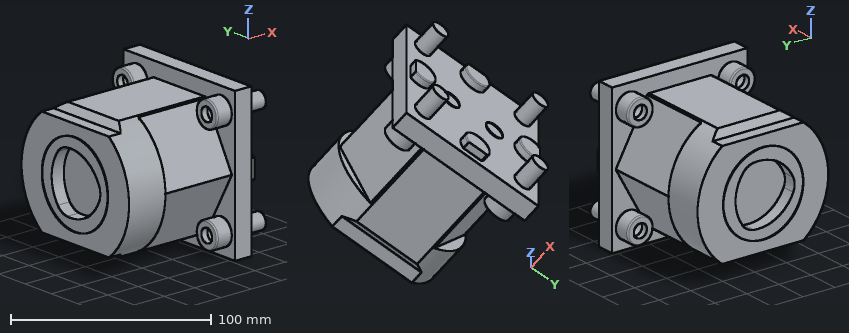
import cadquery as cq
import math

TOTAL_LENGTH = 94.5
FACE_PAD_HEIGHT = 0.4
DRUM_START = FACE_PAD_HEIGHT
DRUM_END = 24.5
PLATE_START = 69.2
PLATE_THICKNESS = 11.0
PLATE_END = PLATE_START + PLATE_THICKNESS

PLATE_WIDTH = 85.0
PLATE_HEIGHT = 90.0

DRUM_RADIUS = 41.0
FLAT_HALF_HEIGHT = 36.1
RIDGE_HALF_WIDTH = 40.2
FACET_CORNER_ANGLE = math.radians(60)
NOSE_HALF_HEIGHT = 32.0
NOSE_FLAT_LENGTH = 7.75

FACE_PAD_DIAMETER = 50.1
LOBE_COUNT = 3
FIRST_LOBE_ANGLE = 180
LOBE_TIP_DISTANCE = 19.6
LOBE_RADIUS = 10.0
SIDE_DISTANCE = 17.5
POCKET_DEPTH = 8.0

BOLT_OFFSET = 32.0
BOLT_HEAD_DIAMETER = 16.1
BOLT_HEAD_HEIGHT = 9.6
BOLT_HEAD_FILLET = 0.8
BOLT_SHANK_DIAMETER = 10.0
SOCKET_DIAMETER = 8.1
SOCKET_DEPTH = 4.0
SOCKET_TIP_ANGLE = math.radians(120)

PIN_DIAMETER = 15.5
PIN_OFFSET = 34.8
PIN_FLAT_DISTANCE = 39.9
PIN_HEIGHT = 4.4
PIN_END_FILLET = 0.6
REAR_PAD_DIAMETER = 10.8
REAR_PAD_OFFSET = 13.9
REAR_PAD_HEIGHT = 0.4


def cross_section(x):
    """Sketch plane across the axis: local x is Y, local y is Z."""
    return cq.Workplane("YZ", origin=(x, 0, 0))


def make_drum():
    """Full-length drum, flattened on top and bottom and stepped down at the nose."""
    length = PLATE_START - DRUM_START
    step = FLAT_HALF_HEIGHT - NOSE_HALF_HEIGHT
    nose_end = DRUM_START + NOSE_FLAT_LENGTH
    cylinder = cross_section(DRUM_START).circle(DRUM_RADIUS).extrude(length)
    side_profile = (
        cq.Workplane("XZ")
        .moveTo(DRUM_START, -NOSE_HALF_HEIGHT)
        .lineTo(nose_end, -NOSE_HALF_HEIGHT)
        .lineTo(nose_end + step, -FLAT_HALF_HEIGHT)
        .lineTo(PLATE_START, -FLAT_HALF_HEIGHT)
        .lineTo(PLATE_START, FLAT_HALF_HEIGHT)
        .lineTo(nose_end + step, FLAT_HALF_HEIGHT)
        .lineTo(nose_end, NOSE_HALF_HEIGHT)
        .lineTo(DRUM_START, NOSE_HALF_HEIGHT)
        .close()
        .extrude(DRUM_RADIUS, both=True)
    )
    return cylinder.intersect(side_profile)


def make_side_cut(side):
    """Material outside the two slanted faces that meet in a ridge on one side."""
    corner_y = side * DRUM_RADIUS * math.cos(FACET_CORNER_ANGLE)
    corner_z = DRUM_RADIUS * math.sin(FACET_CORNER_ANGLE)
    outside_y = side * PLATE_WIDTH / 2
    outline = [
        (side * RIDGE_HALF_WIDTH, 0),
        (corner_y, corner_z),
        (outside_y, corner_z),
        (outside_y, -corner_z),
        (corner_y, -corner_z),
    ]
    return cross_section(DRUM_END).polyline(outline).close().extrude(PLATE_START - DRUM_END)


def make_pocket():
    """Pocket with three rounded lobes, one toward -Y, joined tangentially by three wide arcs."""
    lobe_step = 360 / LOBE_COUNT
    half_step = lobe_step / 2
    lobe_center = LOBE_TIP_DISTANCE - LOBE_RADIUS
    inset = SIDE_DISTANCE - LOBE_RADIUS
    side_center = (lobe_center**2 - inset**2) / (2 * inset - lobe_center)
    side_angle = math.degrees(
        math.atan2(lobe_center * math.sin(math.radians(half_step)), side_center + lobe_center / 2)
    )
    lobe_half_angle = half_step - side_angle

    def polar(distance, degrees):
        angle = math.radians(degrees)
        return distance * math.cos(angle), distance * math.sin(angle)

    def lobe_end(lobe_angle, turn):
        center_y, center_z = polar(lobe_center, lobe_angle)
        offset_y, offset_z = polar(LOBE_RADIUS, lobe_angle + turn)
        return center_y + offset_y, center_z + offset_z

    outline = cross_section(0).moveTo(*lobe_end(FIRST_LOBE_ANGLE, -lobe_half_angle))
    for index in range(LOBE_COUNT):
        angle = FIRST_LOBE_ANGLE + index * lobe_step
        outline = outline.threePointArc(
            polar(LOBE_TIP_DISTANCE, angle), lobe_end(angle, lobe_half_angle)
        )
        outline = outline.threePointArc(
            polar(SIDE_DISTANCE, angle + half_step), lobe_end(angle + lobe_step, -lobe_half_angle)
        )
    return outline.close().extrude(POCKET_DEPTH)


def make_bolt(y, z):
    """Bolt with a rounded head rim and a drilled socket that ends in a cone."""
    head_start = PLATE_START - BOLT_HEAD_HEIGHT
    socket_radius = SOCKET_DIAMETER / 2
    tip_depth = SOCKET_DEPTH + socket_radius / math.tan(SOCKET_TIP_ANGLE / 2)
    head = (
        cross_section(head_start).center(y, z)
        .circle(BOLT_HEAD_DIAMETER / 2).extrude(BOLT_HEAD_HEIGHT)
        .faces("<X").edges().fillet(BOLT_HEAD_FILLET)
    )
    shank = (
        cross_section(PLATE_START).center(y, z)
        .circle(BOLT_SHANK_DIAMETER / 2).extrude(TOTAL_LENGTH - PLATE_START)
    )
    socket = (
        cq.Workplane("XY", origin=(head_start, y, z))
        .polyline([(0, 0), (0, socket_radius), (SOCKET_DEPTH, socket_radius), (tip_depth, 0)])
        .close()
        .revolve(360, (0, 0, 0), (1, 0, 0))
    )
    return head.union(shank), socket


def make_pin(angle):
    """Round pin behind the plate with a flat facing outward, turned about the axis to its place."""
    pin = (
        cross_section(PLATE_END)
        .center(PIN_OFFSET, 0)
        .circle(PIN_DIAMETER / 2).extrude(PIN_HEIGHT)
        .faces(">X").edges().fillet(PIN_END_FILLET)
    )
    outside_flat = (
        cross_section(PLATE_END)
        .center(PIN_FLAT_DISTANCE + PIN_DIAMETER / 2, 0)
        .rect(PIN_DIAMETER, PIN_DIAMETER).extrude(PIN_HEIGHT)
    )
    return pin.cut(outside_flat).rotate((0, 0, 0), (1, 0, 0), angle)


housing = make_drum()
for side in (-1, 1):
    housing = housing.cut(make_side_cut(side))

face_pad = cross_section(0).circle(FACE_PAD_DIAMETER / 2).extrude(FACE_PAD_HEIGHT)
plate = cross_section(PLATE_START).rect(PLATE_WIDTH, PLATE_HEIGHT).extrude(PLATE_THICKNESS)
result = plate.union(housing).union(face_pad).cut(make_pocket())

for pin_angle in (0, 90, 180, 270):
    result = result.union(make_pin(pin_angle))

rear_pads = (
    cross_section(PLATE_END)
    .pushPoints([(-REAR_PAD_OFFSET, 0), (REAR_PAD_OFFSET, 0)])
    .circle(REAR_PAD_DIAMETER / 2).extrude(REAR_PAD_HEIGHT)
)
result = result.union(rear_pads)

for bolt_y in (-BOLT_OFFSET, BOLT_OFFSET):
    for bolt_z in (-BOLT_OFFSET, BOLT_OFFSET):
        bolt, socket = make_bolt(bolt_y, bolt_z)
        result = result.union(bolt).cut(socket)